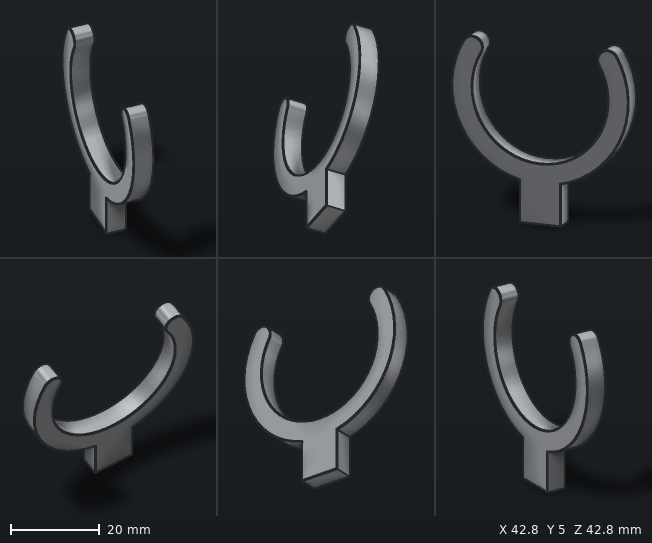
import cadquery as cq
import math

outer_radius = 21.4
band_width = 5.0
thickness = 5.0
total_height = 42.75
tip_angle = 60.0
stem_width = 10.0
edge_chamfer = 0.2

inner_radius = outer_radius - band_width
middle_radius = outer_radius - band_width / 2
tip_radius = band_width / 2
arm_top = middle_radius * math.cos(math.radians(tip_angle)) + tip_radius
stem_bottom = arm_top - total_height
stem_half = stem_width / 2
stem_top = -math.sqrt(outer_radius**2 - stem_half**2)


def arm_point(radius, side):
    """Point at the end of an arm; side is -1 for left and 1 for right."""
    angle = math.radians(tip_angle)
    return (side * radius * math.sin(angle), radius * math.cos(angle))


def tip_point(side):
    """Furthest point of the rounded end, along the tangent of the ring."""
    angle = math.radians(tip_angle)
    x, z = arm_point(middle_radius, side)
    return (x - side * tip_radius * math.cos(angle), z + tip_radius * math.sin(angle))


profile = (
    cq.Workplane("XZ")
    .moveTo(-stem_half, stem_bottom)
    .lineTo(stem_half, stem_bottom)
    .lineTo(stem_half, stem_top)
    .threePointArc((outer_radius, 0), arm_point(outer_radius, 1))
    .threePointArc(tip_point(1), arm_point(inner_radius, 1))
    .threePointArc((0, -inner_radius), arm_point(inner_radius, -1))
    .threePointArc(tip_point(-1), arm_point(outer_radius, -1))
    .threePointArc((-outer_radius, 0), (-stem_half, stem_top))
    .close()
)
body = profile.extrude(thickness / 2, both=True)

result = body.faces("<Y or >Y").edges().chamfer(edge_chamfer)